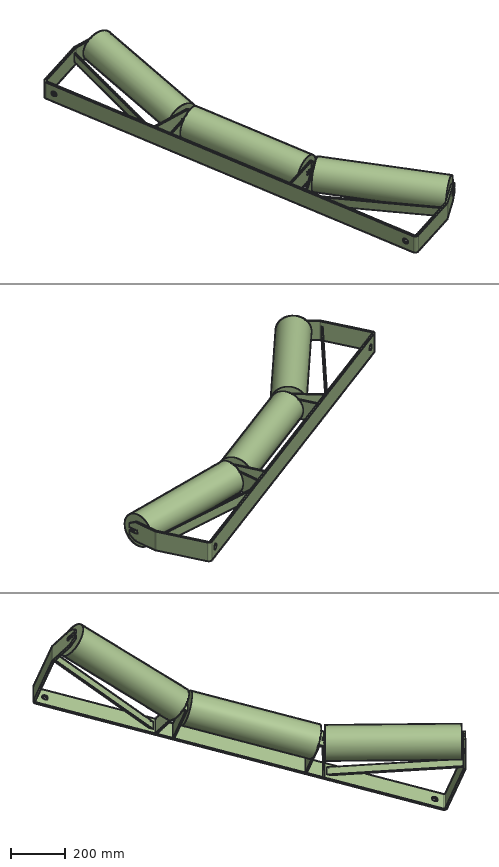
import cadquery as cq
import math


frame_length = 1600.0
strip_width = 80.0
thickness = 8.0
outer_bend_radius = 13.0
bend_height = 218.0
trough_angle = 20.0
arm_length = 130.0
arm_chamfer_along = 30.0
arm_chamfer_across = 18.0
hole_diameter = 22.0
hole_inset = 46.0

roller_diameter = 133.0
roller_length = 500.0
axle_diameter = 20.0
axle_flat_width = 15.0
center_axis_height = 128.0
wing_axis_from_tip = 32.0
roller_gap = 3.0

bracket_height = 152.0
bracket_top_width = 22.0
bracket_thickness = 6.0

brace_width = 40.0
brace_thickness = 6.0
brace_top_height = 211.0
brace_foot_x = 336.0

half_length = frame_length / 2
half_width = strip_width / 2
sin_trough = math.sin(math.radians(trough_angle))
cos_trough = math.cos(math.radians(trough_angle))
tan_trough = math.tan(math.radians(trough_angle))

along = cq.Vector(cos_trough, sin_trough, 0)
up_arm = cq.Vector(-sin_trough, cos_trough, 0)
x_direction = cq.Vector(1, 0, 0)

arm_root = cq.Vector(half_length, bend_height, 0)
arm_tip = arm_root + up_arm * arm_length
upright_x = roller_length / 2 + roller_gap
slope_top = cq.Vector(upright_x + bracket_top_width, bracket_height, 0)

center_axle_end = upright_x + bracket_thickness
wing_axle_end = arm_tip - up_arm * wing_axis_from_tip
wing_axle_length = (wing_axle_end - slope_top).dot(along) + bracket_thickness
wing_axle_start = wing_axle_end - along * wing_axle_length


def prism(points):
    """Plate of the full strip width with the given XY outline."""
    return cq.Workplane("XY").polyline(points).close().extrude(half_width, both=True)


def mirrored(body):
    return body.mirror("YZ")


def axle_plane(origin, direction):
    """Plane square to an axle; its local Y points up the supporting plate."""
    return cq.Plane(origin=origin.toTuple(), xDir=(0, 0, -1), normal=direction.toTuple())


def make_roller(start, direction, axle_length):
    """Roller with a flatted axle that starts at the given point."""
    plane = axle_plane(start, direction)
    end_stub = roller_gap + bracket_thickness
    drum = (
        cq.Workplane(plane).workplane(offset=end_stub)
        .circle(roller_diameter / 2).extrude(roller_length)
    )
    axle = cq.Workplane(plane).circle(axle_diameter / 2).extrude(axle_length)
    flats = cq.Workplane(plane).rect(axle_flat_width, axle_diameter).extrude(axle_length)
    return drum.union(axle.intersect(flats))


def axle_slot(start, direction, depth, height):
    """Cutter for an open slot whose round floor fits the underside of an axle."""
    plane = axle_plane(start, direction)
    floor = (
        cq.Workplane(plane).circle(axle_diameter / 2).extrude(depth)
        .intersect(cq.Workplane(plane).rect(axle_flat_width, axle_diameter).extrude(depth))
    )
    throat = (
        cq.Workplane(plane).center(0, height / 2)
        .rect(axle_flat_width, height).extrude(depth)
    )
    return floor.union(throat)


def round_edge(body, point, radius):
    """Fillet the Z edge nearest to a point."""
    return body.edges("|Z").edges(cq.selectors.NearestToPointSelector(point)).fillet(radius)


def make_frame():
    inner_x = half_length - thickness
    inner_bend_height = bend_height - thickness * math.tan(math.radians(trough_angle / 2))
    inner_tip = arm_tip - along * thickness
    half = prism([
        (0, 0),
        (half_length, 0),
        (half_length, bend_height),
        (arm_tip.x, arm_tip.y),
        (inner_tip.x, inner_tip.y),
        (inner_x, inner_bend_height),
        (inner_x, thickness),
        (0, thickness),
    ])

    inner_bend_radius = outer_bend_radius - thickness
    half = round_edge(half, (half_length, 0, 0), outer_bend_radius)
    half = round_edge(half, (inner_x, thickness, 0), inner_bend_radius)
    half = round_edge(half, arm_root.toTuple(), outer_bend_radius)
    half = round_edge(half, (inner_x, inner_bend_height, 0), inner_bend_radius)

    hole = (
        cq.Workplane("XZ").center(half_length - hole_inset, 0)
        .circle(hole_diameter / 2).extrude(-thickness)
    )

    slot_start = wing_axle_end - along * thickness
    slot = axle_slot(slot_start, along, thickness, wing_axis_from_tip)

    corner = (
        cq.Workplane(axle_plane(arm_tip - along * thickness, along))
        .polyline([
            (half_width, 0),
            (half_width - arm_chamfer_across, 0),
            (half_width, -arm_chamfer_along),
        ])
        .close().extrude(thickness)
    )
    half = half.cut(hole).cut(slot).cut(corner).cut(corner.mirror("XY"))
    return half.union(mirrored(half))


def make_bracket():
    """Bent plate with an upright leg and a leg square to the wing roller."""
    leg_run = bracket_thickness / cos_trough
    slope_foot_x = slope_top.x + (bracket_height - thickness) * tan_trough
    inner_top = bracket_height - bracket_thickness
    inner_slope_x = slope_top.x + bracket_thickness * tan_trough - leg_run
    inner_upright_x = upright_x + bracket_thickness
    bracket = prism([
        (upright_x, thickness),
        (upright_x, bracket_height),
        (slope_top.x, bracket_height),
        (slope_foot_x, thickness),
        (slope_foot_x - leg_run, thickness),
        (inner_slope_x, inner_top),
        (inner_upright_x, inner_top),
        (inner_upright_x, thickness),
    ])
    center_slot = axle_slot(
        cq.Vector(upright_x, center_axis_height, 0), x_direction,
        bracket_thickness, bracket_height - center_axis_height,
    )
    wing_slot_height = (slope_top - wing_axle_start).dot(up_arm) + bracket_thickness
    wing_slot = axle_slot(wing_axle_start, along, bracket_thickness, wing_slot_height)
    return bracket.cut(center_slot).cut(wing_slot)


def make_brace():
    """Flat bar from the base up to the inner face of the upright, mitred at both ends."""
    top_x = half_length - thickness
    slope = (brace_top_height - thickness) / (top_x - brace_foot_x)
    angle = math.atan(slope)
    foot_run = brace_thickness / math.sin(angle)
    top_drop = brace_thickness / math.cos(angle)
    return (
        cq.Workplane("XY")
        .polyline([
            (brace_foot_x, thickness),
            (top_x, brace_top_height),
            (top_x, brace_top_height - top_drop),
            (brace_foot_x + foot_run, thickness),
        ])
        .close().extrude(brace_width / 2, both=True)
    )


frame = make_frame()
center_axle_start = cq.Vector(-center_axle_end, center_axis_height, 0)
center_roller = make_roller(center_axle_start, x_direction, 2 * center_axle_end)
wing_roller = make_roller(wing_axle_start, along, wing_axle_length)
bracket = make_bracket()
brace = make_brace()

bodies = [frame.solids().val(), center_roller.solids().val()]
for body in (wing_roller, bracket, brace):
    bodies += [body.solids().val(), mirrored(body).solids().val()]

result = cq.Compound.makeCompound(bodies)